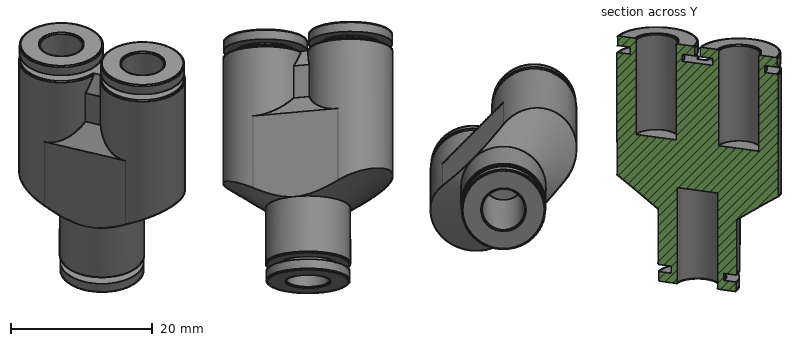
import cadquery as cq

total_height = 36.0
body_dia = 12.0
body_radius = body_dia / 2
total_width = 24.5
port_offset = (total_width - body_dia) / 2

collar_dia = 11.8
collar_height = 1.5
collar_chamfer = 0.18
neck_dia = 8.0
neck_flare = 0.1
neck_flare_height = 0.2
port_recess = 2.5
body_chamfer = 0.18
bore_dia = 6.0
bore_depth = 14.4
bore_chamfer = 0.18

cone_bottom = 10.8
cone_top = 15.12

web_shoulder = 23.22
web_slope_top = 26.25
web_taper_start = 30.95
web_half_thickness = 3.15
web_tip_half_thickness = 1.6

body_bottom = port_recess
body_top = total_height - port_recess


def cylinder(diameter, bottom, height):
    return cq.Workplane("XY").workplane(offset=bottom).circle(diameter / 2).extrude(height)


def make_collar():
    """Collar and neck with the outer face at Z = 0, extending upward into the body."""
    collar = cylinder(collar_dia, 0, collar_height).faces("<Z").chamfer(collar_chamfer)
    neck_radius = neck_dia / 2
    neck_bottom = collar_height / 2
    flare_top = collar_height + neck_flare_height
    neck_top = port_recess + body_chamfer
    neck = (
        cq.Workplane("XZ")
        .moveTo(0, neck_bottom)
        .lineTo(neck_radius + neck_flare, neck_bottom)
        .lineTo(neck_radius + neck_flare, collar_height)
        .lineTo(neck_radius, flare_top)
        .lineTo(neck_radius, neck_top)
        .lineTo(0, neck_top)
        .close()
        .revolve(360, (0, 0, 0), (0, 1, 0))
    )
    return collar.union(neck)


def make_bore():
    """Blind bore opening at Z = 0, with a chamfered mouth."""
    bore_radius = bore_dia / 2
    return (
        cq.Workplane("XZ")
        .lineTo(bore_radius + bore_chamfer, 0)
        .lineTo(bore_radius, bore_chamfer)
        .lineTo(bore_radius, bore_depth)
        .lineTo(0, bore_depth)
        .close()
        .revolve(360, (0, 0, 0), (0, 1, 0))
    )


def at_top(shape, x):
    """Turn a bottom-port shape over and place it at the top."""
    return shape.rotate((0, 0, 0), (1, 0, 0), 180).translate((x, 0, total_height))


def make_web():
    """Stepped web between the barrel axes, symmetric about the XZ plane."""
    half_profile = [
        (body_radius, cone_bottom),
        (body_radius, web_shoulder),
        (web_half_thickness, web_slope_top),
        (web_half_thickness, web_taper_start),
        (web_tip_half_thickness, body_top),
    ]
    mirrored = [(-y, z) for y, z in reversed(half_profile)]
    return (
        cq.Workplane("YZ")
        .polyline(half_profile + mirrored)
        .close()
        .extrude(port_offset, both=True)
    )


def make_cone_envelope():
    """Revolved limit that cuts the twin body to a cone underneath."""
    outer_radius = total_width / 2
    return (
        cq.Workplane("XZ")
        .moveTo(0, cone_bottom)
        .lineTo(body_radius, cone_bottom)
        .lineTo(outer_radius, cone_top)
        .lineTo(outer_radius, total_height)
        .lineTo(0, total_height)
        .close()
        .revolve(360, (0, 0, 0), (0, 1, 0))
    )


twin_body = make_web()
for side in (-1, 1):
    barrel = cylinder(body_dia, cone_bottom, body_top - cone_bottom).faces(">Z").chamfer(body_chamfer)
    twin_body = twin_body.union(barrel.translate((side * port_offset, 0, 0)))
twin_body = twin_body.intersect(make_cone_envelope())

stem = cylinder(body_dia, body_bottom, cone_bottom - body_bottom).faces("<Z").chamfer(body_chamfer)
result = twin_body.union(stem)

collar = make_collar()
bore = make_bore()
result = result.union(collar).cut(bore)
for side in (-1, 1):
    result = result.union(at_top(collar, side * port_offset))
    result = result.cut(at_top(bore, side * port_offset))